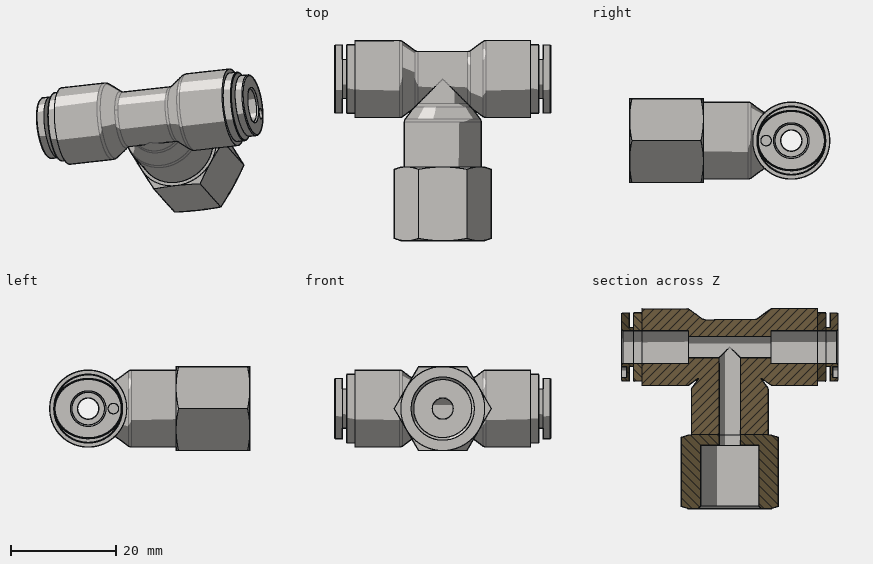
import cadquery as cq
import math


arm_length = 16.75
arm_radius = 14.7 / 2
neck_radius = 10.5 / 2
neck_end = 5.03
cone_end = 7.9
cone_blend = 1.0
passage_radius = 4.0 / 2
tube_radius = 6.2 / 2
tube_stop = cone_end

collar_radius = 13.15 / 2
collar_length = 1.6
collar_end = arm_length + collar_length
collar_chamfer = 0.15

stem_radius = 7.5 / 2
run_end = 41.3 / 2
flange_thickness = 1.55
flange_start = run_end - flange_thickness
flange_width = 13.0
flange_height = 11.5
flange_chamfer = 0.2
mouth_chamfer = 0.3
dimple_radius = 2.0 / 2
dimple_offset = 4.8
dimple_depth = 1.0

hex_flats = 16.0
hex_corners = hex_flats / math.cos(math.pi / 6)
branch_reach = 30.8
hex_length = branch_reach - arm_length
corner_chamfer_angle = 20.0
bore_radius = 11.05 / 2
bore_chamfer = 0.5
bore_floor_thickness = 2.0

run_angles = (0, 180)
branch_angle = -90


def cylinder_along_x(radius, start, end):
    return cq.Workplane("YZ").workplane(offset=start).circle(radius).extrude(end - start)


def turn_about_z(shape, angle):
    return shape.rotate((0, 0, 0), (0, 0, 1), angle)


def circle_edges_at(shape, x):
    """Edges whose centre lies on the X axis at the given place."""
    margin = 0.1
    return shape.edges(cq.selectors.BoxSelector(
        (x - margin, -margin, -margin), (x + margin, margin, margin)))


def make_arm():
    """Solid arm along +X: neck, blended cone and full cylinder."""
    arm = (
        cq.Workplane("XY")
        .moveTo(0, 0)
        .lineTo(arm_length, 0)
        .lineTo(arm_length, arm_radius)
        .lineTo(cone_end, arm_radius)
        .lineTo(neck_end, neck_radius)
        .lineTo(0, neck_radius)
        .close()
        .revolve(360, (0, 0, 0), (1, 0, 0))
    )
    for x in (neck_end, cone_end):
        arm = circle_edges_at(arm, x).fillet(cone_blend)
    return arm


def make_tee_body():
    arm = make_arm()
    passage = cylinder_along_x(passage_radius, 0, arm_length)
    tube_hole = cylinder_along_x(tube_radius, tube_stop, arm_length)

    body = turn_about_z(arm, branch_angle)
    for angle in run_angles:
        body = body.union(turn_about_z(arm, angle))

    body = body.cut(turn_about_z(passage, branch_angle))
    for angle in run_angles:
        body = body.cut(turn_about_z(passage, angle))
        body = body.cut(turn_about_z(tube_hole, angle))
    return body


def make_collar():
    """Ring on the +X end of the run."""
    ring = cylinder_along_x(collar_radius, arm_length, collar_end)
    ring = ring.faces(">X").edges().chamfer(collar_chamfer)
    return ring.cut(cylinder_along_x(tube_radius, arm_length, collar_end))


def make_button():
    """Short stem and elliptical flange outside the +X collar."""
    flange = (
        cq.Workplane("YZ")
        .workplane(offset=flange_start)
        .ellipse(flange_width / 2, flange_height / 2)
        .extrude(flange_thickness)
        .faces(">X").edges().chamfer(flange_chamfer)
    )
    button = flange.union(cylinder_along_x(stem_radius, collar_end, flange_start))
    button = button.cut(cylinder_along_x(tube_radius, collar_end, run_end))
    button = button.faces(">X").edges("%CIRCLE").chamfer(mouth_chamfer)
    dimple = cylinder_along_x(dimple_radius, run_end - dimple_depth, run_end)
    return button.cut(dimple.translate((0, -dimple_offset, 0)))


def make_hex_socket():
    """Female threaded socket, built along +Z from its joint and then turned to -Y."""
    corner_rise = (hex_corners - hex_flats) / 2
    chamfer_depth = corner_rise * math.tan(math.radians(corner_chamfer_angle))

    trimming_disc = (
        cq.Workplane("XY")
        .circle(hex_corners / 2)
        .extrude(hex_length)
        .edges().chamfer(chamfer_depth, corner_rise)
    )
    socket = cq.Workplane("XY").polygon(6, hex_corners).extrude(hex_length).intersect(trimming_disc)

    passage = cq.Workplane("XY").circle(passage_radius).extrude(hex_length)
    bore = (
        cq.Workplane("XY")
        .workplane(offset=bore_floor_thickness)
        .circle(bore_radius)
        .extrude(hex_length - bore_floor_thickness)
    )
    socket = socket.cut(passage).cut(bore)
    bore_mouth = socket.faces(">Z").edges(cq.selectors.RadiusNthSelector(0))
    socket = bore_mouth.chamfer(bore_chamfer)
    return socket.rotate((0, 0, 0), (1, 0, 0), 90).translate((0, -arm_length, 0))


tee_body = make_tee_body().solids()
hex_socket = make_hex_socket().solids()
bodies = [tee_body.val(), hex_socket.val()]

for end_part in (make_collar(), make_button()):
    right_solid = end_part.solids().val()
    bodies.append(right_solid)
    bodies.append(right_solid.mirror("YZ"))

result = cq.Compound.makeCompound(bodies)